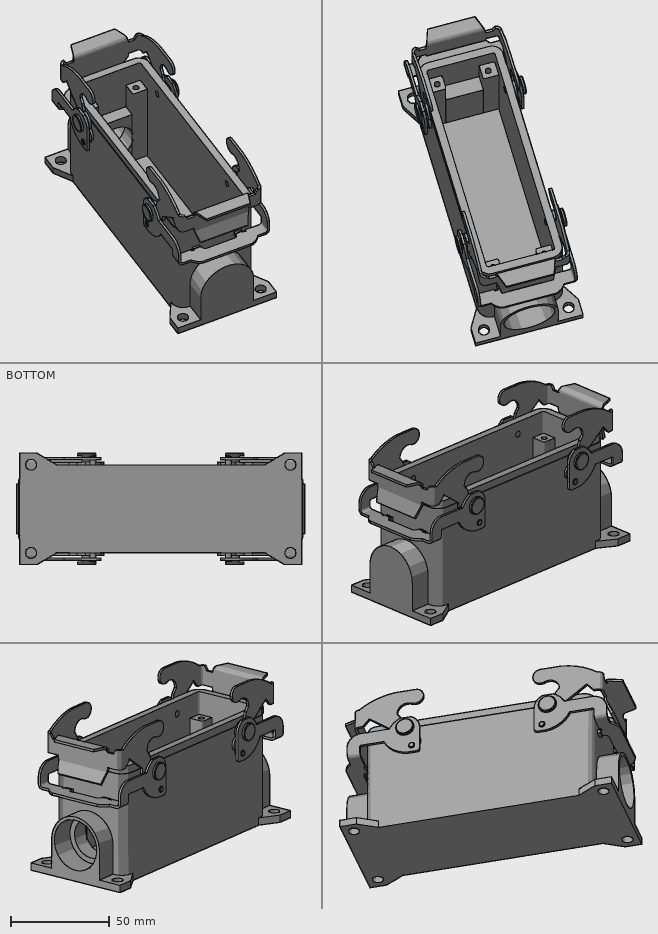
import cadquery as cq
import math


BODY_LENGTH = 121.0
BODY_WIDTH = 45.0
BODY_CORNER_RADIUS = 6.3
BODY_HEIGHT = 58.8
RIM_SETBACK = 0.3
RIM_TOP = 62.9
CAVITY_LENGTH = 112.3
CAVITY_WIDTH = 36.2
CAVITY_CORNER_RADIUS = 1.2
FLOOR_THICKNESS = 4.0

FOOT_END_X = 72.0
FOOT_WIDTH = 57.0
FOOT_THICKNESS = 4.0
FOOT_CHAMFER_X = 63.2
FOOT_INNER_X = 53.0
FOOT_HOLE_X = 66.1
FOOT_HOLE_Y = 22.5
FOOT_HOLE_RADIUS = 2.8

ENTRY_HEIGHT = 19.5
ENTRY_BOSS_RADIUS = 15.3
ENTRY_BORE_RADIUS = 13.5
ENTRY_BORE_END_X = 58.8
CABLE_HOLE_RADIUS = 10.6
ENTRY_BACKING_INNER_X = 49.5
BLANK_BACKING_INNER_X = 48.5
BACKING_TOP = 35.5

POST_INNER_X = 48.5
POST_INNER_Y = 9.8
POST_TOP = 50.5
POST_CORNER_RADIUS = 0.9
SCREW_X = 52.2
SCREW_Y = 13.5
SCREW_RADIUS = 1.5
SCREW_DEPTH = 17.6

SHEET = 1.3
BEND_RADIUS = 2.8
OVERALL_LENGTH = 147.0

PIVOT_X = -37.8
PIVOT_Z = 56.0
PIN_TIP_RADIUS = 1.6
PIN_SHANK_RADIUS = 2.5
PIN_HEAD_RADIUS = 4.7
PIN_HEAD_THICKNESS = 1.5
PIN_HEAD_CHAMFER = 0.5

HOOK_INNER_Y = BODY_WIDTH / 2
HOOK_OUTER_Y = HOOK_INNER_Y + SHEET
HOOK_TOP = 81.0
HOOK_TIP_RADIUS = 4.3
HOOK_TIP_X = -33.2
HOOK_BACK_MIDDLE = (-54.2, 78.6)
HOOK_BACK_END_X = -44.1
CATCH_START = (-34.7, 72.6)
CATCH_MIDDLE = (-40.0, 72.8)
CATCH_END = (-42.9, 67.6)
NECK_UPPER = (-40.9, 65.0)
NECK_LOWER = (-40.3, 62.9)
HOOK_HEEL_X = -46.7
HOOK_HEEL_Z = 59.1
HOOK_GAP_PEAK = (-57.6, 67.3)
HOOK_GAP_END_X = -61.1
HUB_RADIUS = 5.0
STOP_LOBE_X = -34.5
STOP_LOBE_Z = 49.7
STOP_LOBE_RADIUS = 4.0

WALL_OUTER_X = -65.8
WALL_BOTTOM = 63.2
WALL_TOP = 73.8
WALL_NOTCH_Z = 71.3
NOTCH_INNER_Y = 15.9
NOTCH_OUTER_Y = 19.4
HANDLE_TOP = 74.5
HANDLE_TIP_Y = 12.6
HANDLE_ROOT_Y = 15.3
TONGUE_BEND_Z = 61.0
TONGUE_BEND_RADIUS = 2.2
TONGUE_TIP_X = -69.0
TONGUE_TIP_Z = 54.7
TONGUE_BOTTOM = 53.6
TONGUE_TIP_Y = 13.4

OUTER_INNER_Y = 25.0
OUTER_OUTER_Y = OUTER_INNER_Y + SHEET
DISC_RADIUS = 7.3
DISC_TOP = 62.8
DISC_BOTTOM = 41.2
DISC_CORNER_RADIUS = 1.5
DISC_SHOULDER_TOP_X = -40.7
DISC_SHOULDER = (-44.1, 60.4)
DISC_SHOULDER_ROOT_X = -46.6
BELLY_START_X = -49.2
BELLY_MIDDLE = (-44.5, 44.2)
BELLY_END_X = -36.0
ARM_TOP = 57.2
ARM_BOTTOM = 50.0
ARM_END_X = -68.8
ARM_INNER_X = -62.0
ARM_OUTER_RADIUS = 7.3
ARM_INNER_RADIUS = 0.9
STRAP_BOTTOM = 43.7
STRAP_LIP_X = -72.6
STRAP_LIP_Y = 14.3
STRAP_LIP_ROOT_Y = 19.3
STRAP_CURVE_X = -71.0
STRAP_CURVE_Y = 17.3
STRAP_NOTCH_X = -65.0
STRAP_NOTCH_Y = 10.0
STRAP_NOTCH_RADIUS = 2.2
TAB_INNER_Y = STRAP_NOTCH_Y
TAB_OUTER_Y = 14.1
TAB_TOP = 44.5
TAB_BOTTOM = 42.8
RELIEF_WIDTH = 1.5
RELIEF_X = -62.9
STUD_X = -34.5
STUD_Z = 45.0
STUD_RADIUS = 1.6
STUD_PROUD = 0.5
STUD_CHAMFER = 0.37


def box(x_range, y_range, z_range):
    """A box given by its limits along each axis."""
    sizes = [high - low for low, high in (x_range, y_range, z_range)]
    corner = (x_range[0], y_range[0], z_range[0])
    return cq.Workplane("XY").box(*sizes, centered=False).translate(corner)


def rounded_block(length, width, radius, bottom, top):
    """An upright block centred on the Z axis, with rounded vertical edges."""
    block = cq.Workplane("XY").workplane(offset=bottom).rect(length, width).extrude(top - bottom)
    return block.edges("|Z").fillet(radius)


def cylinder_x(radius, x_start, x_end, z):
    """A cylinder along X, centred in Y."""
    return cq.Workplane("YZ", origin=(x_start, 0, z)).circle(radius).extrude(x_end - x_start)


def cylinder_y(radius, x, z, y_start, y_end):
    """A cylinder along +Y."""
    return cq.Workplane("XZ", origin=(x, y_start, z)).circle(radius).extrude(y_start - y_end)


def both_ends(shape):
    """A shape and its mirror image at the other end of the housing."""
    return shape.union(shape.mirror("YZ"))


def both_sides(shape):
    """A shape and its mirror image on the other side of the housing."""
    return shape.union(shape.mirror("XZ"))


def make_foot():
    """Foot plate at the -X end, its outer corners sloping back to the body."""
    half_foot = FOOT_WIDTH / 2
    half_body = BODY_WIDTH / 2
    outline = [
        (-FOOT_END_X, -half_foot),
        (-FOOT_CHAMFER_X, -half_foot),
        (-FOOT_INNER_X, -half_body),
        (-FOOT_INNER_X, half_body),
        (-FOOT_CHAMFER_X, half_foot),
        (-FOOT_END_X, half_foot),
    ]
    return cq.Workplane("XY").polyline(outline).close().extrude(FOOT_THICKNESS)


def make_entry_boss():
    """Round-topped cable entry boss at the -X end, standing on the foot."""
    body_end = -BODY_LENGTH / 2
    dome = cylinder_x(ENTRY_BOSS_RADIUS, -FOOT_END_X, body_end, ENTRY_HEIGHT)
    base = box((-FOOT_END_X, body_end), (-ENTRY_BOSS_RADIUS, ENTRY_BOSS_RADIUS), (0, ENTRY_HEIGHT))
    return base.union(dome)


def make_screw_posts():
    """Four square corner posts inside the cavity."""
    half_length = CAVITY_LENGTH / 2
    half_width = CAVITY_WIDTH / 2
    post = box((-half_length, -POST_INNER_X), (POST_INNER_Y, half_width), (0, POST_TOP))
    post = post.edges("|Z and >X and <Y").fillet(POST_CORNER_RADIUS)
    return both_ends(both_sides(post))


def make_housing():
    rim_length = BODY_LENGTH - 2 * RIM_SETBACK
    rim_width = BODY_WIDTH - 2 * RIM_SETBACK
    rim_radius = BODY_CORNER_RADIUS - RIM_SETBACK
    housing = rounded_block(BODY_LENGTH, BODY_WIDTH, BODY_CORNER_RADIUS, 0, BODY_HEIGHT)
    housing = housing.union(rounded_block(rim_length, rim_width, rim_radius, BODY_HEIGHT, RIM_TOP))
    housing = housing.union(both_ends(make_foot())).union(both_ends(make_entry_boss()))

    housing = housing.cut(
        rounded_block(CAVITY_LENGTH, CAVITY_WIDTH, CAVITY_CORNER_RADIUS, FLOOR_THICKNESS, RIM_TOP)
    )
    housing = housing.union(make_screw_posts())
    for x_range in (
        (-CAVITY_LENGTH / 2, -ENTRY_BACKING_INNER_X),
        (BLANK_BACKING_INNER_X, CAVITY_LENGTH / 2),
    ):
        housing = housing.union(box(x_range, (-POST_INNER_Y, POST_INNER_Y), (0, BACKING_TOP)))

    housing = housing.cut(
        cylinder_x(ENTRY_BORE_RADIUS, -FOOT_END_X, -ENTRY_BORE_END_X, ENTRY_HEIGHT)
    )
    housing = housing.cut(
        cylinder_x(CABLE_HOLE_RADIUS, -ENTRY_BORE_END_X, -ENTRY_BACKING_INNER_X, ENTRY_HEIGHT)
    )

    for x_side in (-1, 1):
        for y_side in (-1, 1):
            mounting_hole = cq.Workplane("XY").circle(FOOT_HOLE_RADIUS).extrude(FOOT_THICKNESS)
            housing = housing.cut(
                mounting_hole.translate((x_side * FOOT_HOLE_X, y_side * FOOT_HOLE_Y, 0))
            )
            screw_hole = cq.Workplane("XY").circle(SCREW_RADIUS).extrude(SCREW_DEPTH)
            housing = housing.cut(
                screw_hole.translate((x_side * SCREW_X, y_side * SCREW_Y, POST_TOP - SCREW_DEPTH))
            )
        housing = housing.cut(
            cylinder_y(PIN_TIP_RADIUS, x_side * PIVOT_X, PIVOT_Z, -BODY_WIDTH / 2, BODY_WIDTH / 2)
        )
    return housing


def make_hook_plate():
    """Side plate on the +Y side with the catch hook, ending around the pivot."""
    tip_z = HOOK_TOP - HOOK_TIP_RADIUS
    plane = cq.Workplane("XZ", origin=(0, HOOK_OUTER_Y, 0))
    plate = (
        plane.moveTo(WALL_OUTER_X + BEND_RADIUS, WALL_BOTTOM)
        .lineTo(WALL_OUTER_X + BEND_RADIUS, WALL_TOP)
        .threePointArc(HOOK_BACK_MIDDLE, (HOOK_BACK_END_X, HOOK_TOP))
        .lineTo(HOOK_TIP_X, HOOK_TOP)
        .threePointArc((HOOK_TIP_X + HOOK_TIP_RADIUS, tip_z), (HOOK_TIP_X, tip_z - HOOK_TIP_RADIUS))
        .lineTo(*CATCH_START)
        .threePointArc(CATCH_MIDDLE, CATCH_END)
        .lineTo(*NECK_UPPER)
        .lineTo(*NECK_LOWER)
        .lineTo(PIVOT_X, PIVOT_Z)
        .lineTo(HOOK_HEEL_X, PIVOT_Z)
        .lineTo(HOOK_HEEL_X, HOOK_HEEL_Z)
        .lineTo(*HOOK_GAP_PEAK)
        .lineTo(HOOK_GAP_END_X, WALL_BOTTOM)
        .close()
        .extrude(SHEET)
    )
    hub = cylinder_y(HUB_RADIUS, PIVOT_X, PIVOT_Z, HOOK_INNER_Y, HOOK_OUTER_Y)
    lobe = cylinder_y(STOP_LOBE_RADIUS, STOP_LOBE_X, STOP_LOBE_Z, HOOK_INNER_Y, HOOK_OUTER_Y)
    return plate.union(hub).union(lobe)


def make_bracket_wall():
    """End wall that wraps around both corners to join the hook plates."""
    back_x = WALL_OUTER_X + BEND_RADIUS
    wall = rounded_block(
        2 * BEND_RADIUS + SHEET, 2 * HOOK_OUTER_Y, BEND_RADIUS, WALL_BOTTOM, WALL_TOP
    )
    hollow = rounded_block(
        2 * BEND_RADIUS - SHEET, 2 * HOOK_INNER_Y, BEND_RADIUS - SHEET, WALL_BOTTOM, WALL_TOP
    )
    centre_x = back_x + SHEET / 2
    wall = wall.cut(hollow).translate((centre_x, 0, 0))
    wall = wall.intersect(
        box((WALL_OUTER_X, back_x), (-HOOK_OUTER_Y, HOOK_OUTER_Y), (WALL_BOTTOM, WALL_TOP))
    )

    shoulder_y = HOOK_OUTER_Y - BEND_RADIUS
    notch = (
        cq.Workplane("YZ", origin=(WALL_OUTER_X, 0, 0))
        .moveTo(-shoulder_y, WALL_TOP)
        .lineTo(-NOTCH_OUTER_Y, WALL_NOTCH_Z)
        .lineTo(NOTCH_OUTER_Y, WALL_NOTCH_Z)
        .lineTo(shoulder_y, WALL_TOP)
        .close()
        .extrude(BEND_RADIUS)
    )
    return wall.cut(notch)


def make_handle():
    """Bent strip in the middle of the wall: a grip at the top and a slanted tongue below."""
    grip_tip_x = -OVERALL_LENGTH / 2
    bend_x = WALL_OUTER_X + SHEET - BEND_RADIUS
    bend_z = HANDLE_TOP - BEND_RADIUS
    inner_bend = BEND_RADIUS - SHEET
    diagonal = math.sqrt(0.5)
    strip = (
        cq.Workplane("XZ", origin=(0, NOTCH_INNER_Y, 0))
        .moveTo(grip_tip_x, HANDLE_TOP)
        .lineTo(bend_x, HANDLE_TOP)
        .threePointArc(
            (bend_x + BEND_RADIUS * diagonal, bend_z + BEND_RADIUS * diagonal),
            (bend_x + BEND_RADIUS, bend_z),
        )
        .lineTo(WALL_OUTER_X + SHEET, TONGUE_BEND_Z)
        .lineTo(TONGUE_TIP_X + SHEET, TONGUE_BOTTOM)
        .lineTo(TONGUE_TIP_X, TONGUE_TIP_Z)
        .lineTo(WALL_OUTER_X, TONGUE_BEND_Z)
        .lineTo(WALL_OUTER_X, bend_z)
        .threePointArc(
            (bend_x + inner_bend * diagonal, bend_z + inner_bend * diagonal),
            (bend_x, HANDLE_TOP - SHEET),
        )
        .lineTo(grip_tip_x, HANDLE_TOP - SHEET)
        .close()
        .extrude(2 * NOTCH_INNER_Y)
    )

    bend_edges = cq.selectors.BoxSelector(
        (WALL_OUTER_X - SHEET, -NOTCH_INNER_Y, TONGUE_BEND_Z - SHEET / 2),
        (WALL_OUTER_X + 2 * SHEET, NOTCH_INNER_Y, TONGUE_BEND_Z + SHEET / 2),
    )
    strip = strip.edges("|Y").edges(bend_edges).fillet(TONGUE_BEND_RADIUS)

    tongue_root_z = TONGUE_BEND_Z + SHEET
    end_outline = [
        (HANDLE_ROOT_Y, HANDLE_TOP),
        (NOTCH_INNER_Y, WALL_NOTCH_Z),
        (NOTCH_INNER_Y, tongue_root_z),
        (TONGUE_TIP_Y, TONGUE_BOTTOM),
        (-TONGUE_TIP_Y, TONGUE_BOTTOM),
        (-NOTCH_INNER_Y, tongue_root_z),
        (-NOTCH_INNER_Y, WALL_NOTCH_Z),
        (-HANDLE_ROOT_Y, HANDLE_TOP),
    ]
    end_mask = cq.Workplane("YZ", origin=(grip_tip_x, 0, 0)).polyline(end_outline).close()
    strip = strip.intersect(end_mask.extrude(-grip_tip_x))

    for side in (-1, 1):
        sliver = [
            (grip_tip_x, side * HANDLE_TIP_Y),
            (WALL_OUTER_X, side * HANDLE_ROOT_Y),
            (WALL_OUTER_X, side * NOTCH_OUTER_Y),
            (grip_tip_x, side * NOTCH_OUTER_Y),
        ]
        cutter = cq.Workplane("XY", origin=(0, 0, bend_z)).polyline(sliver).close()
        strip = strip.cut(cutter.extrude(BEND_RADIUS))
    return strip


def make_outer_plate():
    """Side plate of the outer bracket on the +Y side: pivot disc and curved arm."""
    disc_right = PIVOT_X + DISC_RADIUS
    strap_bend_z = STRAP_BOTTOM + BEND_RADIUS
    arm = (
        cq.Workplane("XZ", origin=(0, OUTER_OUTER_Y, 0))
        .moveTo(PIVOT_X, PIVOT_Z)
        .lineTo(DISC_SHOULDER_TOP_X, DISC_TOP)
        .lineTo(*DISC_SHOULDER)
        .lineTo(DISC_SHOULDER_ROOT_X, ARM_TOP)
        .lineTo(ARM_END_X + ARM_OUTER_RADIUS, ARM_TOP)
        .radiusArc((ARM_END_X, ARM_TOP - ARM_OUTER_RADIUS), -ARM_OUTER_RADIUS)
        .lineTo(ARM_END_X, strap_bend_z)
        .lineTo(ARM_INNER_X, strap_bend_z)
        .lineTo(ARM_INNER_X, ARM_BOTTOM - ARM_INNER_RADIUS)
        .radiusArc((ARM_INNER_X + ARM_INNER_RADIUS, ARM_BOTTOM), ARM_INNER_RADIUS)
        .lineTo(BELLY_START_X, ARM_BOTTOM)
        .threePointArc(BELLY_MIDDLE, (BELLY_END_X, DISC_BOTTOM))
        .lineTo(disc_right - DISC_CORNER_RADIUS, DISC_BOTTOM)
        .radiusArc((disc_right, DISC_BOTTOM + DISC_CORNER_RADIUS), -DISC_CORNER_RADIUS)
        .lineTo(disc_right, PIVOT_Z)
        .close()
        .extrude(SHEET)
    )
    disc = cylinder_y(DISC_RADIUS, PIVOT_X, PIVOT_Z, OUTER_INNER_Y, OUTER_OUTER_Y)
    flat = box(
        (PIVOT_X - DISC_RADIUS, disc_right),
        (OUTER_INNER_Y, OUTER_OUTER_Y),
        (DISC_TOP, PIVOT_Z + DISC_RADIUS),
    )
    return arm.union(disc.cut(flat))


def make_strap():
    """Bottom of the outer bracket, bent up at both sides, with a lip and two tabs."""
    strap_top = STRAP_BOTTOM + SHEET
    trough_top = STRAP_BOTTOM + 2 * BEND_RADIUS
    x_range = (STRAP_LIP_X, ARM_INNER_X)
    outside = box(x_range, (-OUTER_OUTER_Y, OUTER_OUTER_Y), (STRAP_BOTTOM, trough_top))
    inside = box(x_range, (-OUTER_INNER_Y, OUTER_INNER_Y), (strap_top, trough_top))
    trough = outside.edges("|X and <Z").fillet(BEND_RADIUS)
    trough = trough.cut(inside.edges("|X and <Z").fillet(BEND_RADIUS - SHEET))

    plan = (
        cq.Workplane("XY", origin=(0, 0, STRAP_BOTTOM))
        .moveTo(ARM_INNER_X, -OUTER_OUTER_Y)
        .lineTo(ARM_END_X, -OUTER_OUTER_Y)
        .lineTo(ARM_END_X, -STRAP_LIP_ROOT_Y)
        .threePointArc((STRAP_CURVE_X, -STRAP_CURVE_Y), (STRAP_LIP_X, -STRAP_LIP_Y))
        .lineTo(STRAP_LIP_X, STRAP_LIP_Y)
        .threePointArc((STRAP_CURVE_X, STRAP_CURVE_Y), (ARM_END_X, STRAP_LIP_ROOT_Y))
        .lineTo(ARM_END_X, OUTER_OUTER_Y)
        .lineTo(ARM_INNER_X, OUTER_OUTER_Y)
        .close()
        .extrude(BEND_RADIUS)
    )
    notch = box(
        (STRAP_NOTCH_X, ARM_INNER_X), (-STRAP_NOTCH_Y, STRAP_NOTCH_Y), (STRAP_BOTTOM, strap_top)
    )
    strap = trough.intersect(plan).cut(notch.edges("|Z and <X").fillet(STRAP_NOTCH_RADIUS))

    tab = box((ARM_INNER_X, -BODY_LENGTH / 2), (TAB_INNER_Y, TAB_OUTER_Y), (TAB_BOTTOM, TAB_TOP))
    relief = box(
        (RELIEF_X, ARM_INNER_X), (TAB_OUTER_Y, TAB_OUTER_Y + RELIEF_WIDTH), (STRAP_BOTTOM, strap_top)
    )
    return strap.union(both_sides(tab)).cut(both_sides(relief))


def make_pin():
    """Headed pivot pin on the +Y side, with a thin tip passing through the housing wall."""
    head_outer_y = FOOT_WIDTH / 2
    head_inner_y = head_outer_y - PIN_HEAD_THICKNESS
    tip = cylinder_y(PIN_TIP_RADIUS, PIVOT_X, PIVOT_Z, CAVITY_WIDTH / 2, HOOK_INNER_Y)
    shank = cylinder_y(PIN_SHANK_RADIUS, PIVOT_X, PIVOT_Z, HOOK_INNER_Y, head_inner_y)
    head = cylinder_y(PIN_HEAD_RADIUS, PIVOT_X, PIVOT_Z, head_inner_y, head_outer_y)
    return tip.union(shank).union(head.faces(">Y").chamfer(PIN_HEAD_CHAMFER))


def make_stud():
    """Small rivet joining the two plates below the pivot, standing proud of the outer one."""
    stud = cylinder_y(STUD_RADIUS, STUD_X, STUD_Z, HOOK_INNER_Y, OUTER_OUTER_Y + STUD_PROUD)
    return stud.faces(">Y").chamfer(STUD_CHAMFER)


def make_lever():
    """Complete lever at the -X end: hook bracket and outer bracket joined by pins."""
    side = make_hook_plate().union(make_outer_plate()).union(make_pin()).union(make_stud())
    lever = both_sides(side)
    return lever.union(make_bracket_wall()).union(make_handle()).union(make_strap())


housing = make_housing().solids()
levers = []
for angle in (0, 180):
    lever = make_lever().rotate((0, 0, 0), (0, 0, 1), angle)
    levers.append(lever.solids().val())

result = cq.Compound.makeCompound([housing.val(), *levers])